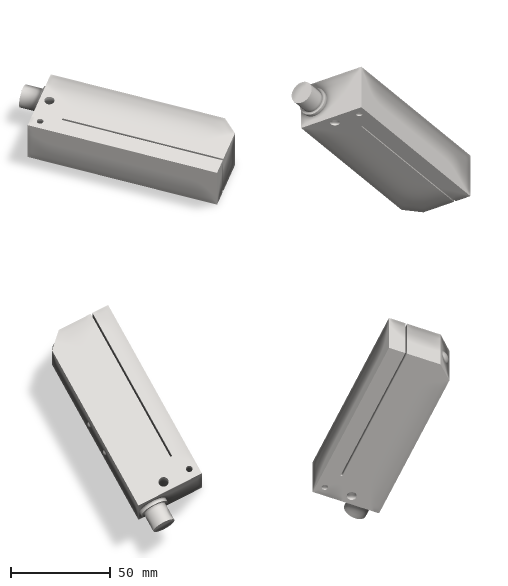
import cadquery as cq

body_length = 100.0
body_width = 36.0
body_height = 24.0
corner_chamfer = 8.0
mid_height = body_height / 2

overall_length = 112.0
connector_length = overall_length - body_length
connector_diameter = 12.0
collar_diameter = 15.0
collar_length = 2.0
connector_side_distance = 8.1
connector_y = body_width - connector_side_distance

hole_x = 5.0
large_hole_diameter = 5.0
large_hole_side_distance = 16.9
large_hole_y = body_width - large_hole_side_distance
small_hole_diameter = 3.2
small_hole_y = 4.5

slot_start_x = 15.0
slot_width = 1.0
slot_bottom_y = 8.8

stud_positions_x = (35.6, 52.2)
stud_diameter = 3.0
stud_height = 1.0
lens_diameter = 7.0
lens_height = 1.5


def make_housing():
    """Block with one chamfered vertical corner."""
    block = cq.Workplane("XY").box(body_length, body_width, body_height, centered=False)
    return block.edges("|Z and >X and >Y").chamfer(corner_chamfer)


def make_end_cylinder(diameter, length):
    """Cylinder standing out of the -X end face on the connector axis."""
    end_plane = cq.Plane(origin=(0, connector_y, mid_height), xDir=(0, 1, 0), normal=(-1, 0, 0))
    return cq.Workplane(end_plane).circle(diameter / 2).extrude(length)


def make_dome(base_center, outward, diameter, height):
    """Spherical cap whose flat base lies on a vertical face with the given outward normal."""
    radius = diameter / 2
    sphere_radius = (radius**2 + height**2) / (2 * height)
    half_chord = (radius**2 + height**2) ** 0.5 / 2
    sagitta = sphere_radius - (sphere_radius**2 - half_chord**2) ** 0.5
    mid_arc_point = (
        radius / 2 + sagitta * height / (2 * half_chord),
        height / 2 + sagitta * radius / (2 * half_chord),
    )
    profile_plane = cq.Plane(origin=base_center, xDir=(0, 0, 1), normal=(-outward[1], outward[0], 0))
    return (
        cq.Workplane(profile_plane)
        .lineTo(radius, 0)
        .threePointArc(mid_arc_point, (0, height))
        .close()
        .revolve(360, (0, 0), (0, 1))
    )


def make_vertical_hole(y, diameter):
    """Cutter for a hole through the full height."""
    return cq.Workplane("XY").center(hole_x, y).circle(diameter / 2).extrude(body_height)


def make_slot():
    """Cutter for the slot that splits off the long bar on the -Y side."""
    slot_length = body_length - slot_start_x
    slot = cq.Workplane("XY").box(slot_length, slot_width, body_height, centered=False)
    return slot.translate((slot_start_x, slot_bottom_y, 0))


result = make_housing()
result = result.union(make_end_cylinder(collar_diameter, collar_length))
result = result.union(make_end_cylinder(connector_diameter, connector_length))

for stud_x in stud_positions_x:
    stud_base = (stud_x, body_width, mid_height)
    result = result.union(make_dome(stud_base, (0, 1), stud_diameter, stud_height))

lens_base = (body_length - corner_chamfer / 2, body_width - corner_chamfer / 2, mid_height)
result = result.union(make_dome(lens_base, (1, 1), lens_diameter, lens_height))

result = result.cut(make_vertical_hole(large_hole_y, large_hole_diameter))
result = result.cut(make_vertical_hole(small_hole_y, small_hole_diameter))
result = result.cut(make_slot())